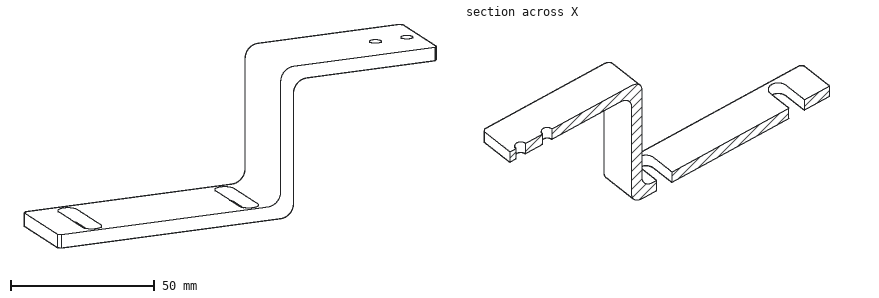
import cadquery as cq

width = 30.0
length = 145.0
height = 55.0
thickness = 5.0
bend_radius = 5.0
corner_chamfer = 1.0

upper_length = 60.0

hole_diameter = 4.2
hole_end_distance = 5.0
hole_spacing = 12.0

slot_length = 27.0
slot_width = 7.0
slot_end_distance = 15.0
slot_spacing = 60.0

front_end = -length / 2
rear_end = length / 2
web_front = rear_end - upper_length
web_rear = web_front + thickness


def bent_strip():
    """Z profile in the YZ plane, with bends rounded inside and outside."""
    profile = [
        (front_end, 0),
        (web_rear, 0),
        (web_rear, height - thickness),
        (rear_end, height - thickness),
        (rear_end, height),
        (web_front, height),
        (web_front, thickness),
        (front_end, thickness),
    ]
    strip = cq.Workplane("YZ").polyline(profile).close().extrude(width / 2, both=True)
    bend_edges = strip.edges("|X").edges(
        cq.selectors.BoxSelector(
            (-width, web_front - thickness, -thickness),
            (width, web_rear + thickness, height + thickness),
        )
    )
    strip = strip.newObject(bend_edges.vals()).fillet(bend_radius)
    return strip.faces("<Y or >Y").edges("|Z").chamfer(corner_chamfer)


def upper_holes():
    first_y = rear_end - hole_end_distance
    centers = [(0, first_y), (0, first_y - hole_spacing)]
    base = cq.Workplane("XY").workplane(offset=height - thickness)
    return base.pushPoints(centers).circle(hole_diameter / 2).extrude(thickness)


def lower_slots():
    first_y = front_end + slot_end_distance
    centers = [(0, first_y), (0, first_y + slot_spacing)]
    return cq.Workplane("XY").pushPoints(centers).slot2D(slot_length, slot_width).extrude(thickness)


result = bent_strip().cut(upper_holes()).cut(lower_slots())